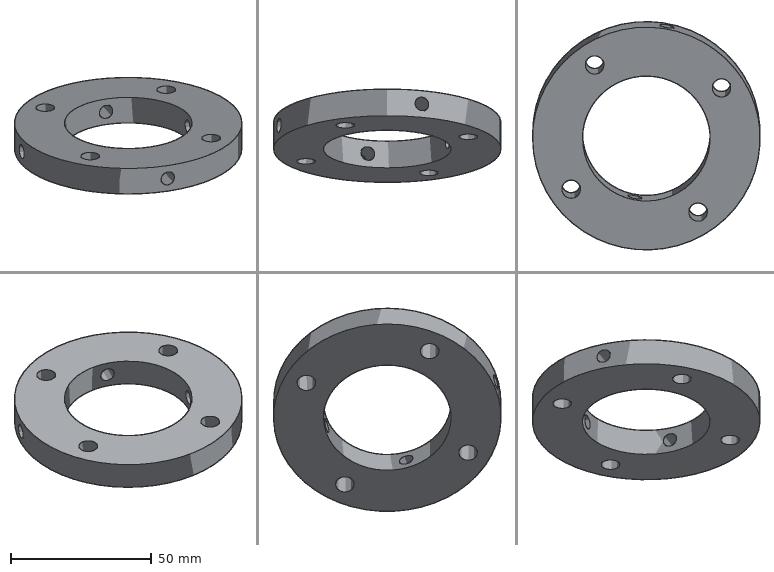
import cadquery as cq
import math

outer_diameter = 81.0
bore_diameter = 45.4
thickness = 10.0

mount_hole_diameter = 6.6
mount_circle_diameter = 65.0
mount_hole_count = 4
first_mount_angle = 45.0

radial_hole_diameter = 5.0
blind_hole_depth = 9.7
drill_point_angle = 118.0
radial_entry_angles = (-90, 0)

outer_radius = outer_diameter / 2
bore_radius = bore_diameter / 2
radial_hole_radius = radial_hole_diameter / 2
drill_tip_length = radial_hole_radius / math.tan(math.radians(drill_point_angle / 2))


def make_ring():
    """Flat ring with its mounting holes, centred on the Z axis."""
    ring = cq.Workplane("XY").circle(outer_radius).circle(bore_radius).extrude(thickness)
    mount_holes = (
        cq.Workplane("XY")
        .polarArray(mount_circle_diameter / 2, first_mount_angle, 360, mount_hole_count)
        .circle(mount_hole_diameter / 2)
        .extrude(thickness)
    )
    return ring.cut(mount_holes)


def cross_drill(entry_angle):
    """Drill entering through one wall, crossing the bore and ending in a cone inside the far wall."""
    shoulder = bore_radius + blind_hole_depth
    profile = [
        (-outer_radius, 0),
        (shoulder + drill_tip_length, 0),
        (shoulder, radial_hole_radius),
        (-outer_radius, radial_hole_radius),
    ]
    drill = cq.Workplane("XZ").polyline(profile).close().revolve(360, (0, 0), (1, 0))
    drill = drill.translate((0, 0, thickness / 2))
    return drill.rotate((0, 0, 0), (0, 0, 1), entry_angle - 180)


result = make_ring()
for entry_angle in radial_entry_angles:
    result = result.cut(cross_drill(entry_angle))